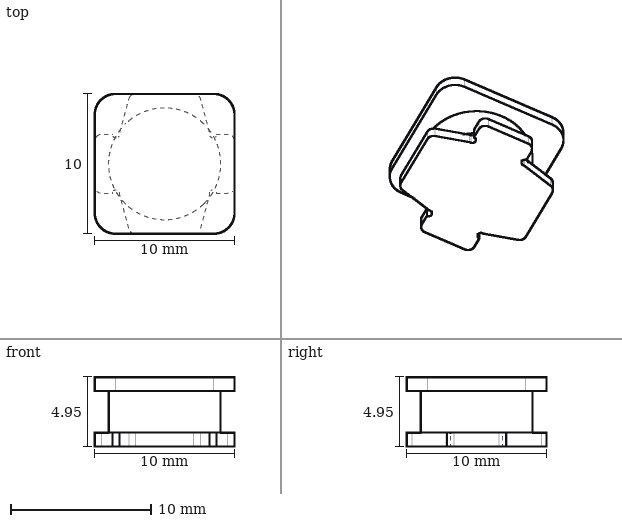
import cadquery as cq
import math

side = 10.0
height = 4.95
flange_thickness = 1.0
core_diameter = 8.0
top_corner_radius = 1.5

half_side = side / 2
x_lobe_half_width = 2.1
y_lobe_half_width = 2.46
taper_angle = math.radians(15)
lobe_corner_radius = 0.5
relief_radius = 0.25
relief_entry_depth = 0.09


def top_flange():
    """Square plate with rounded vertical corners."""
    plate = cq.Workplane("XY").box(side, side, flange_thickness, centered=(True, True, False))
    plate = plate.edges("|Z").fillet(top_corner_radius)
    return plate.translate((0, 0, height - flange_thickness))


def core():
    """Round core joining the two flanges."""
    core_height = height - 2 * flange_thickness
    return cq.Workplane("XY").workplane(offset=flange_thickness).circle(core_diameter / 2).extrude(core_height)


def corner_notch():
    """Cutter for the +X +Y corner: straight lobe side, round-ended relief, tapered wall."""
    wall_end_y = x_lobe_half_width + relief_entry_depth
    inner_x = y_lobe_half_width + (half_side - wall_end_y) * math.tan(taper_angle)
    outer_x = inner_x + 2 * relief_radius
    relief_tip = (inner_x + relief_radius, x_lobe_half_width - relief_radius)
    outline = (
        cq.Workplane("XY")
        .moveTo(half_side, half_side)
        .lineTo(y_lobe_half_width, half_side)
        .lineTo(inner_x, wall_end_y)
        .lineTo(inner_x, x_lobe_half_width)
        .threePointArc(relief_tip, (outer_x, x_lobe_half_width))
        .lineTo(half_side, x_lobe_half_width)
        .close()
    )
    return outline.extrude(flange_thickness)


def bottom_flange():
    """Square plate notched at all four corners, with rounded lobe corners."""
    plate = cq.Workplane("XY").box(side, side, flange_thickness, centered=(True, True, False))
    notch = corner_notch()
    mirrored_notch = notch.mirror("YZ")
    for cutter in (notch, mirrored_notch):
        plate = plate.cut(cutter).cut(cutter.mirror("XZ"))
    lobe_corners = plate.edges("|Z and (<X or >X or <Y or >Y)")
    return lobe_corners.fillet(lobe_corner_radius)


result = bottom_flange().union(core()).union(top_flange())